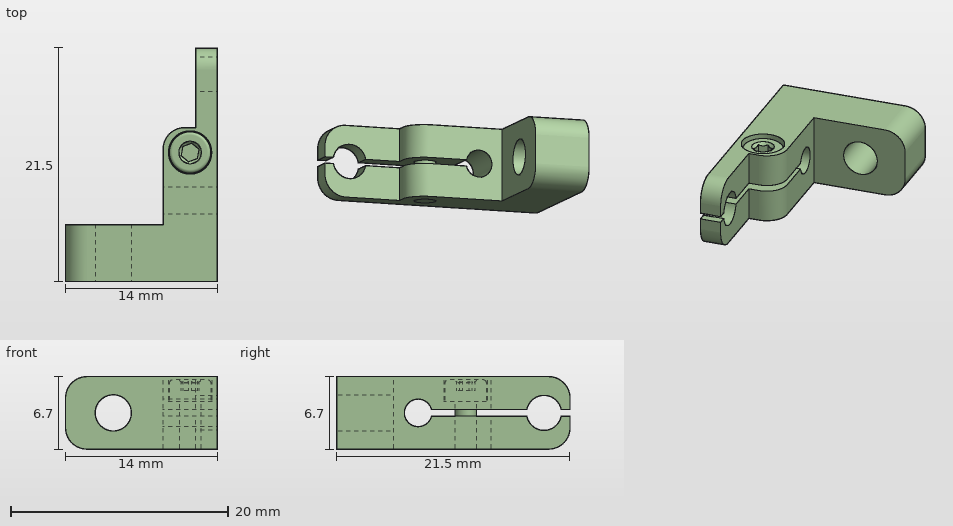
import cadquery as cq
import math

LENGTH = 21.5
WIDTH = 14.0
HEIGHT = 6.7
MID_HEIGHT = HEIGHT / 2
BLOCK_DEPTH = 5.25
ARM_WIDTH = 5.0
PLATE_THICKNESS = 2.0
SHOULDER_Y = 14.2
CORNER_RADIUS = 2.0
ARM_X = WIDTH - ARM_WIDTH
PLATE_X = WIDTH - PLATE_THICKNESS

BLOCK_BORE_X = 4.4
BLOCK_BORE_DIAMETER = 3.31
CLAMP_BORE_Y = 19.1
CLAMP_BORE_DIAMETER = 3.2
RELIEF_BORE_Y = 7.5
RELIEF_BORE_DIAMETER = 2.52
SLIT_HEIGHT = 0.58

SCREW_X = WIDTH - 2.52
SCREW_Y = 11.9
SHANK_DIAMETER = 2.0
HEAD_DIAMETER = 3.8
HEAD_HEIGHT = 2.0
HEAD_FILLET = 0.3
HEAD_RECESS = 0.3
COUNTERBORE_DIAMETER = 4.0
HEAD_TOP = HEIGHT - HEAD_RECESS
HEAD_SEAT = HEAD_TOP - HEAD_HEIGHT

SOCKET_ACROSS_FLATS = 1.5
SOCKET_ACROSS_CORNERS = SOCKET_ACROSS_FLATS / math.cos(math.pi / 6)
SOCKET_DEPTH = 1.0
SOCKET_ANGLE = 20.0
SOCKET_MOUTH_DIAMETER = 2.09
SOCKET_MOUTH_DEPTH = (SOCKET_MOUTH_DIAMETER - SOCKET_ACROSS_FLATS) / 2


def vertical_cylinder(diameter, bottom, top):
    """Cylinder on the screw axis between two heights."""
    return (
        cq.Workplane("XY", origin=(SCREW_X, SCREW_Y, bottom))
        .circle(diameter / 2)
        .extrude(top - bottom)
    )


def arm_bore(y, diameter):
    """Cylinder along X that crosses the whole width at mid height."""
    return cq.Workplane("YZ").center(y, MID_HEIGHT).circle(diameter / 2).extrude(WIDTH)


def make_clamp_blank():
    """L-shaped outline with a thin end plate and rounded corners."""
    blank = (
        cq.Workplane("XY")
        .polyline([
            (0, 0),
            (WIDTH, 0),
            (WIDTH, LENGTH),
            (PLATE_X, LENGTH),
            (PLATE_X, SHOULDER_Y),
            (ARM_X, SHOULDER_Y),
            (ARM_X, BLOCK_DEPTH),
            (0, BLOCK_DEPTH),
        ])
        .close()
        .extrude(HEIGHT)
    )
    blank = blank.faces("<X").edges("|Y").fillet(CORNER_RADIUS)
    blank = blank.faces(">Y").edges("|X").fillet(CORNER_RADIUS)
    shoulder_edge = cq.selectors.NearestToPointSelector((ARM_X, SHOULDER_Y, MID_HEIGHT))
    return blank.edges("|Z").edges(shoulder_edge).fillet(CORNER_RADIUS)


def make_clamp():
    """Clamp with its bores, the slit and the stepped screw hole."""
    block_bore = (
        cq.Workplane("XZ")
        .center(BLOCK_BORE_X, MID_HEIGHT)
        .circle(BLOCK_BORE_DIAMETER / 2)
        .extrude(-BLOCK_DEPTH)
    )
    slit = cq.Workplane("XY").box(
        WIDTH, LENGTH - RELIEF_BORE_Y, SLIT_HEIGHT, centered=(False, False, True)
    ).translate((0, RELIEF_BORE_Y, MID_HEIGHT))
    return (
        make_clamp_blank()
        .cut(block_bore)
        .cut(arm_bore(CLAMP_BORE_Y, CLAMP_BORE_DIAMETER))
        .cut(arm_bore(RELIEF_BORE_Y, RELIEF_BORE_DIAMETER))
        .cut(slit)
        .cut(vertical_cylinder(SHANK_DIAMETER, 0, HEIGHT))
        .cut(vertical_cylinder(COUNTERBORE_DIAMETER, HEAD_SEAT, HEIGHT))
    )


def make_screw():
    """Screw with a rounded head, a drive socket and a shank ending flush with the base."""
    head = vertical_cylinder(HEAD_DIAMETER, HEAD_SEAT, HEAD_TOP).faces(">Z").edges().fillet(HEAD_FILLET)
    shank = vertical_cylinder(SHANK_DIAMETER, 0, HEAD_SEAT)
    head_plane = cq.Workplane("XY", origin=(SCREW_X, SCREW_Y, HEAD_TOP))
    hexagon = (
        head_plane.transformed(rotate=(0, 0, SOCKET_ANGLE))
        .polygon(6, SOCKET_ACROSS_CORNERS)
        .extrude(-SOCKET_DEPTH)
    )
    mouth = (
        head_plane.circle(SOCKET_MOUTH_DIAMETER / 2)
        .workplane(offset=-SOCKET_MOUTH_DEPTH)
        .circle(SOCKET_ACROSS_FLATS / 2)
        .loft()
    )
    return head.union(shank).cut(hexagon).cut(mouth)


clamp = make_clamp()
screw = make_screw()
result = cq.Compound.makeCompound([clamp.val(), screw.val()])